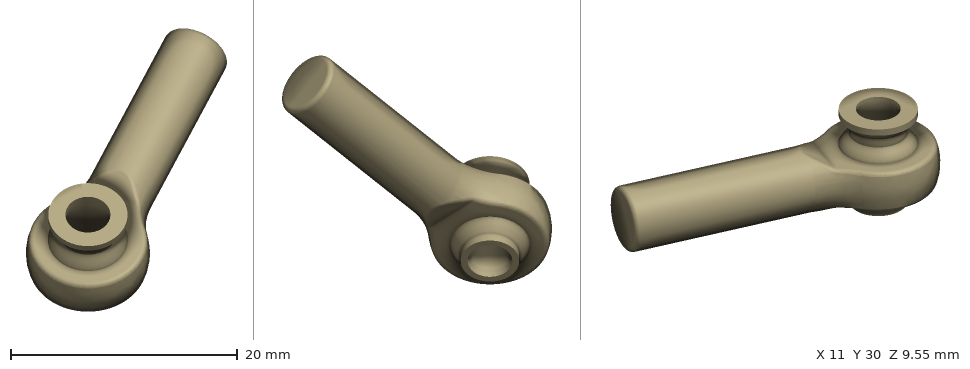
import cadquery as cq
import math

total_length = 30.0

eye_radius = 5.477
eye_half_thickness = 1.98
eye_edge_fillet = 0.45
shank_radius = 3.0
shank_start = 7.32
shank_end = total_length - eye_radius
shank_end_fillet = 0.45
ramp_start = 5.15
ramp_end = 7.45
ramp_bend_radius = 0.6

ball_radius = 4.05
ball_half_length = 4.0
neck_radius = 5.15 / 2
bore_radius = 3.95 / 2
flange_radius = 7.0 / 2
flange_height = 1.55
flange_cone_height = flange_radius - neck_radius


def make_blank():
    """Round blank about Y: spherical eye, concave throat and cylindrical shank."""
    throat_radius = (shank_radius**2 + shank_start**2 - eye_radius**2) / (2 * (eye_radius - shank_radius))
    throat_angle = math.atan2(shank_start, shank_radius + throat_radius)
    throat_point = (eye_radius * math.cos(throat_angle), eye_radius * math.sin(throat_angle))
    throat_mid = (
        shank_radius + throat_radius * (1 - math.cos(throat_angle / 2)),
        shank_start - throat_radius * math.sin(throat_angle / 2),
    )
    profile = (
        cq.Workplane("XY")
        .moveTo(0, -eye_radius)
        .threePointArc((eye_radius, 0), throat_point)
        .threePointArc(throat_mid, (shank_radius, shank_start))
        .lineTo(shank_radius, shank_end)
        .lineTo(0, shank_end)
        .close()
    )
    blank = profile.revolve(360, (0, 0, 0), (0, 1, 0))
    return blank.faces(">Y").fillet(shank_end_fillet)


def make_flat_cutter():
    """Block above the eye: flat over the eye, then a ramp up to the shank surface."""
    front = -2 * eye_radius
    top = 2 * eye_radius
    ramp_slope = (shank_radius - eye_half_thickness) / (ramp_end - ramp_start)
    cutter_end = ramp_start + (top - eye_half_thickness) / ramp_slope
    cutter = (
        cq.Workplane("YZ")
        .polyline([(front, eye_half_thickness), (ramp_start, eye_half_thickness), (cutter_end, top), (front, top)])
        .close()
        .extrude(2 * eye_radius, both=True)
    )
    bend = cq.selectors.NearestToPointSelector((0, ramp_start, eye_half_thickness))
    return cutter.edges(bend).fillet(ramp_bend_radius)


def make_housing():
    """Flattened rod end with rounded face edges and a spherical seat for the ball."""
    upper_cutter = make_flat_cutter()
    housing = make_blank().cut(upper_cutter).cut(upper_cutter.mirror("XY"))
    housing = housing.faces("|Z").edges("not #Y").edges("not |X").fillet(eye_edge_fillet)
    return housing.cut(cq.Workplane("XY").sphere(ball_radius))


def make_ball():
    """Bored ball with a cylindrical neck at each end."""
    neck = cq.Workplane("XY").circle(neck_radius).extrude(ball_half_length, both=True)
    bore = cq.Workplane("XY").circle(bore_radius).extrude(2 * ball_half_length, both=True)
    return cq.Workplane("XY").sphere(ball_radius).union(neck).cut(bore)


def make_flange_ring():
    """Bored ring on the upper neck, widening through a cone to a short rim."""
    bottom = ball_half_length
    top = bottom + flange_height
    return (
        cq.Workplane("XZ")
        .polyline([
            (bore_radius, bottom),
            (neck_radius, bottom),
            (flange_radius, bottom + flange_cone_height),
            (flange_radius, top),
            (bore_radius, top),
        ])
        .close()
        .revolve(360, (0, 0, 0), (0, 1, 0))
    )


housing = make_housing()
ball = make_ball()
flange_ring = make_flange_ring()

result = cq.Compound.makeCompound([housing.val(), ball.val(), flange_ring.val()])